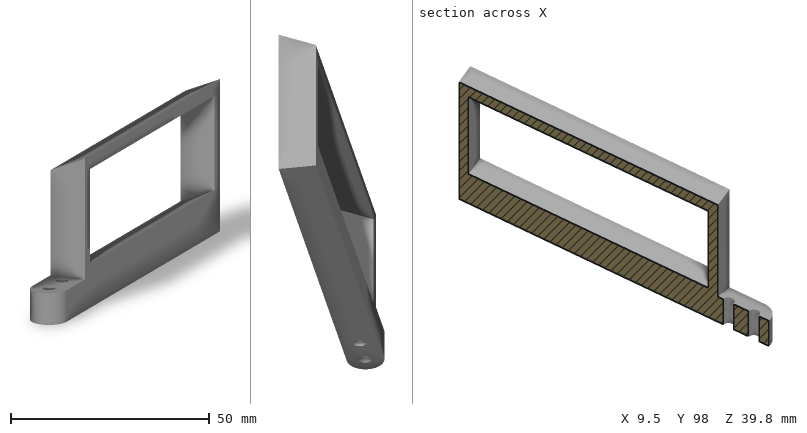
import cadquery as cq

width = 9.5
length = 98.05
height = 39.8

frame_length = 82.0
slope_rise = 4.1
end_wall = 3.1

window_floor = 7.55
window_ceiling = 32.2

tab_height = 8.2
tab_radius = width / 2
hole_diameter = 3.2
hole_spacing = 8.0

half_width = width / 2
tip_y = -length / 2
back_y = length / 2
frame_front_y = back_y - frame_length
tab_center_y = tip_y + tab_radius


def sloped_prism(low_bottom, high_bottom, low_top, front_y, back_y):
    """Prism along Y whose top rises by slope_rise from -X to +X."""
    return (
        cq.Workplane("XZ", origin=(0, back_y, 0))
        .moveTo(-half_width, low_bottom)
        .lineTo(half_width, high_bottom)
        .lineTo(half_width, low_top + slope_rise)
        .lineTo(-half_width, low_top)
        .close()
        .extrude(back_y - front_y)
    )


def make_frame():
    body = sloped_prism(0, 0, height - slope_rise, frame_front_y, back_y)
    window = sloped_prism(
        window_floor,
        window_floor + slope_rise,
        window_ceiling,
        frame_front_y + end_wall,
        back_y - end_wall,
    )
    return body.cut(window)


def make_tab():
    """Round-ended tab with two through holes, one concentric with the end."""
    tab = (
        cq.Workplane("XY")
        .moveTo(-half_width, frame_front_y)
        .lineTo(-half_width, tab_center_y)
        .threePointArc((0, tip_y), (half_width, tab_center_y))
        .lineTo(half_width, frame_front_y)
        .close()
        .extrude(tab_height)
    )
    holes = (
        cq.Workplane("XY")
        .pushPoints([(0, tab_center_y), (0, tab_center_y + hole_spacing)])
        .circle(hole_diameter / 2)
        .extrude(tab_height)
    )
    return tab.cut(holes)


result = make_frame().union(make_tab())